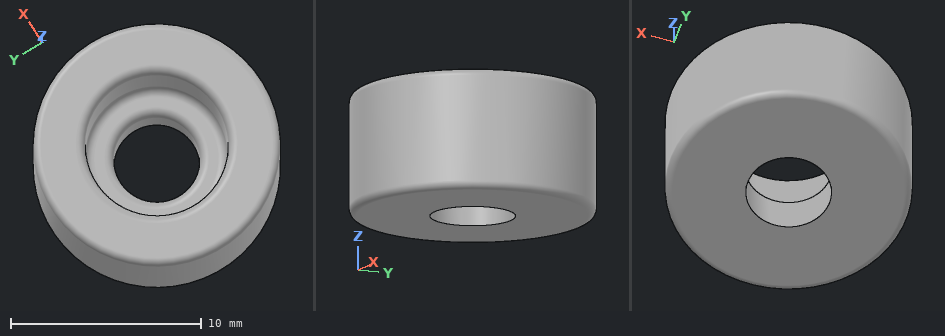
import cadquery as cq

outer_diameter = 13.0
height = outer_diameter / 2
outer_edge_radius = 0.4

pocket_diameter = 7.5
pocket_depth = 4.0
hole_diameter = 4.5
bore_edge_radius = 0.5

top_z = height / 2
floor_z = top_z - pocket_depth

body = cq.Workplane("XY").circle(outer_diameter / 2).extrude(height / 2, both=True)
body = body.edges("%CIRCLE").fillet(outer_edge_radius)

pocket = (
    cq.Workplane("XY")
    .workplane(offset=floor_z)
    .circle(pocket_diameter / 2)
    .extrude(pocket_depth)
    .faces("<Z")
    .edges()
    .fillet(bore_edge_radius)
)
hole = cq.Workplane("XY").circle(hole_diameter / 2).extrude(height, both=True)
ring = body.cut(pocket).cut(hole)

pocket_mouth = cq.selectors.RadiusNthSelector(0)
hole_rim = cq.selectors.RadiusNthSelector(0)
ring = ring.faces(">Z").edges(pocket_mouth).fillet(bore_edge_radius)
floor_face = cq.selectors.NearestToPointSelector((0, 0, floor_z))
ring = ring.faces(floor_face).edges(hole_rim).fillet(bore_edge_radius)

result = ring